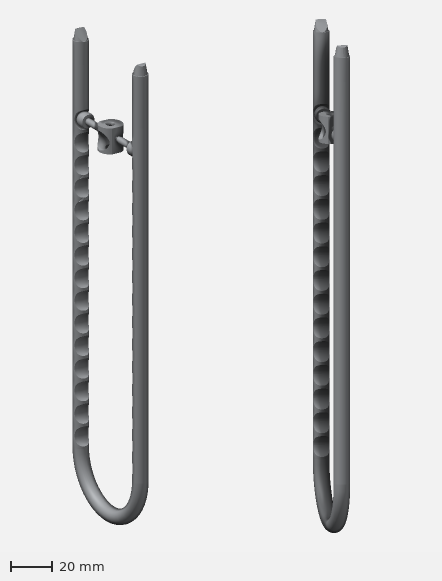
import cadquery as cq
rod_diameter = 8.0
rod_radius = rod_diameter / 2
overall_width = 61.0
leg_offset = (overall_width - rod_diameter) / 2
leg_length = 185.3

sleeve_length = 15.0
tip_shank_length = 12.0
overall_height = 248.37
tip_base = leg_length + sleeve_length
tip_shoulder = tip_base + tip_shank_length
tip_top = overall_height - overall_width / 2
tip_nose_height = tip_top - tip_shoulder
nose_base_radius = 3.5
nose_top_radius = 2.6
ridge_offset = 0.8
outer_bevel_drop = 0.7

seat_count = 15
seat_pitch = 11.8
lowest_seat = 6.4
seat_radius = 5.7
seat_floor_offset = 0.7
seat_axis = leg_offset - seat_floor_offset - seat_radius
pin_height = lowest_seat + (seat_count - 1) * seat_pitch

pin_tip = 7.5
pin_tip_diameter = 3.0
pin_tip_end = 9.3
pin_shank_diameter = 3.5
collar_start = 19.7
collar_diameter = 7.0
head_start = 20.5
head_diameter = 8.0
ball_center = 22.8

hub_diameter = 12.5
hub_width = 11.2
hub_height = 13.5
hub_center_height = pin_height - 1.2
hub_bottom = hub_center_height - hub_height / 2
cross_bore_diameter = 10.0
cross_bore_height = hub_center_height - 0.7
top_hole_diameter = 3.0
countersink_diameter = 5.2
countersink_angle = 90.0
bottom_hole_diameter = 5.0
nub_diameter = 1.5


def leg_cylinder(bottom, length):
    """Round bar on the right-hand leg axis."""
    return cq.Workplane("XY", origin=(leg_offset, 0, bottom)).circle(rod_radius).extrude(length)


def mirrored_pair(body):
    """The right-hand body and its mirror image on the left."""
    return [body, body.mirror("YZ")]


def make_frame():
    bend_path = (
        cq.Workplane("XZ")
        .moveTo(-leg_offset, 0)
        .threePointArc((0, -leg_offset), (leg_offset, 0))
    )
    bend = cq.Workplane("XY", origin=(-leg_offset, 0, 0)).circle(rod_radius).sweep(bend_path)

    leg = leg_cylinder(0, leg_length)
    for index in range(seat_count):
        seat_height = lowest_seat + index * seat_pitch
        seat = cq.Workplane("XZ").circle(seat_radius).extrude(rod_diameter, both=True)
        leg = leg.cut(seat.translate((seat_axis, 0, seat_height)), clean=False)

    frame = bend
    for side_leg in mirrored_pair(leg):
        frame = frame.union(side_leg, clean=False)
    return frame


def make_tip():
    shank = leg_cylinder(tip_base, tip_shank_length)
    nose = (
        cq.Workplane("XY", origin=(leg_offset, 0, tip_shoulder))
        .circle(nose_base_radius)
        .workplane(offset=tip_nose_height)
        .circle(nose_top_radius)
        .loft()
    )
    chisel = (
        cq.Workplane("XZ")
        .moveTo(leg_offset - nose_base_radius, tip_shoulder)
        .lineTo(leg_offset + ridge_offset, tip_top)
        .lineTo(leg_offset + nose_top_radius, tip_top - outer_bevel_drop)
        .lineTo(leg_offset + nose_base_radius, tip_top - outer_bevel_drop)
        .lineTo(leg_offset + nose_base_radius, tip_shoulder)
        .close()
        .extrude(rod_radius, both=True)
    )
    return shank.union(nose.intersect(chisel))


def make_pin():
    ball_radius = head_diameter / 2
    return (
        cq.Workplane("XZ")
        .moveTo(pin_tip, 0)
        .lineTo(pin_tip, pin_tip_diameter / 2)
        .lineTo(pin_tip_end, pin_tip_diameter / 2)
        .lineTo(pin_tip_end, pin_shank_diameter / 2)
        .lineTo(collar_start, pin_shank_diameter / 2)
        .lineTo(collar_start, collar_diameter / 2)
        .lineTo(head_start, ball_radius)
        .lineTo(ball_center, ball_radius)
        .radiusArc((ball_center + ball_radius, 0), ball_radius)
        .close()
        .revolve(360, (0, 0, 0), (1, 0, 0))
        .translate((0, 0, pin_height))
    )


def make_hub():
    flats = cq.Workplane("XY", origin=(0, 0, hub_bottom)).rect(hub_width, hub_diameter).extrude(hub_height)
    hub = (
        cq.Workplane("XY", origin=(0, 0, hub_bottom))
        .circle(hub_diameter / 2)
        .extrude(hub_height)
        .intersect(flats)
        .faces(">Z")
        .workplane()
        .cskHole(top_hole_diameter, countersink_diameter, countersink_angle, depth=hub_height / 2)
    )
    nubs = cq.Workplane("YZ", origin=(0, 0, pin_height)).circle(nub_diameter / 2)
    hub = hub.union(nubs.extrude(hub_diameter / 2, both=True))
    cross_bore = (
        cq.Workplane("XZ", origin=(0, 0, cross_bore_height))
        .circle(cross_bore_diameter / 2)
        .extrude(hub_diameter, both=True)
    )
    bottom_hole = (
        cq.Workplane("XY", origin=(0, 0, hub_bottom))
        .circle(bottom_hole_diameter / 2)
        .extrude(hub_height / 2)
    )
    return hub.cut(cross_bore).cut(bottom_hole)


frame = make_frame()
sleeves = mirrored_pair(leg_cylinder(leg_length, sleeve_length))
tips = mirrored_pair(make_tip())
pins = mirrored_pair(make_pin())
hub = make_hub()

bodies = [frame, *sleeves, *tips, *pins, hub]
result = cq.Compound.makeCompound([body.val() for body in bodies])